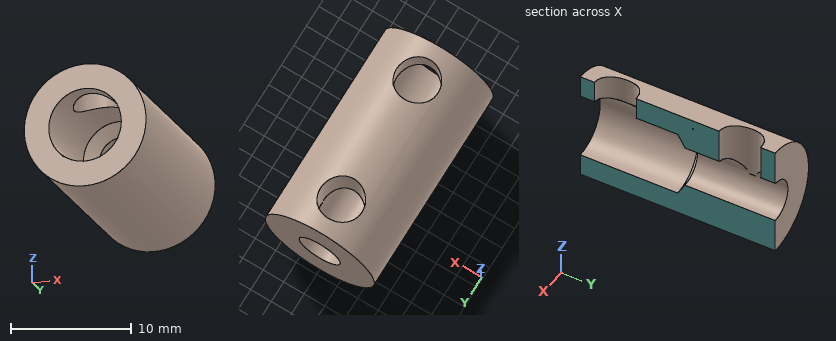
import cadquery as cq
import math

length = 19.05
outer_diameter = 10.67
large_bore_diameter = 6.35
small_bore_diameter = 4.0
large_bore_depth = length / 2
step_tip_angle = 118.0
screw_hole_diameter = 4.04
screw_hole_inset = 3.45

outer_radius = outer_diameter / 2
large_bore_radius = large_bore_diameter / 2
small_bore_radius = small_bore_diameter / 2
front_y = -length / 2
back_y = length / 2
step_start_y = front_y + large_bore_depth
step_length = (large_bore_radius - small_bore_radius) / math.tan(math.radians(step_tip_angle / 2))


def make_sleeve():
    """Revolve the wall section (radius along X) about the Y axis."""
    wall_section = [
        (large_bore_radius, front_y),
        (outer_radius, front_y),
        (outer_radius, back_y),
        (small_bore_radius, back_y),
        (small_bore_radius, step_start_y + step_length),
        (large_bore_radius, step_start_y),
    ]
    return cq.Workplane("XY").polyline(wall_section).close().revolve(360, (0, 0, 0), (0, 1, 0))


def make_screw_holes():
    """Vertical holes from the bore axis out through the top wall."""
    hole_y = length / 2 - screw_hole_inset
    return (
        cq.Workplane("XY")
        .pushPoints([(0, -hole_y), (0, hole_y)])
        .circle(screw_hole_diameter / 2)
        .extrude(outer_radius)
    )


result = make_sleeve().cut(make_screw_holes())